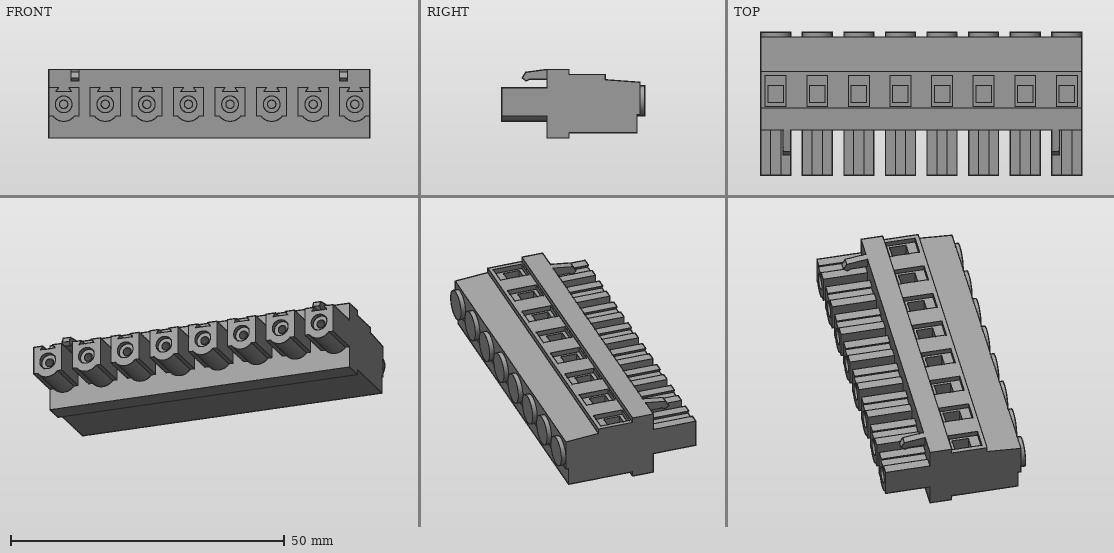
import cadquery as cq


length = 58.85
depth = 26.25
height = 12.6
pole_count = 8
plug_width = 5.55
plug_pitch = (length - plug_width) / (pole_count - 1)

flange_front = 8.3
flange_back = 12.35
ridge_back = 19.0
upper_back = 25.35
lower_back = 24.85
base_z = 0.95
back_step_z = 4.35
slope_low_z = 10.25
slope_high_z = 10.7
ridge_z = 11.65

plug_bottom = 4.0
plug_top = 9.25
socket_z = 6.2
belly_radius = 2.5
belly_bottom = 3.05
socket_diameter = 3.05
socket_depth = 1.0
contact_diameter = 1.55
contact_depth = 5.9
groove_mouth = 1.9
groove_floor = 2.8
groove_depth = 0.7

funnel_width = 3.8
funnel_front = 12.65
funnel_back = 18.25
funnel_depth = 0.95
wire_hole_width = 2.8
wire_hole_front = 13.35
wire_hole_back = 16.4
wire_hole_depth = 5.9

boss_diameter = plug_width
boss_z = 6.8

latch_width = 1.4
latch_thickness = 1.8
latch_nose_y = 4.4
latch_nose_z = 12.05
latch_tip_y = 3.75
latch_tip_z = 11.0
latch_barb_y = 4.55
latch_barb_z = 10.4
latch_barb_start_y = 5.1

pole_positions = [plug_pitch * (index - (pole_count - 1) / 2) for index in range(pole_count)]


def span_box(x_center, width, y_range, z_range):
    """Box centred on x_center that fills the given Y and Z ranges."""
    y_low, y_high = y_range
    z_low, z_high = z_range
    return (
        cq.Workplane("XY")
        .box(width, y_high - y_low, z_high - z_low, centered=(True, False, False))
        .translate((x_center, y_low, z_low))
    )


def cylinder_along_y(x, z, diameter, y_low, y_high):
    """Cylinder parallel to Y between two Y positions."""
    axis = cq.Vector(0, 1, 0)
    start = cq.Vector(x, y_low, z)
    return cq.Workplane(cq.Solid.makeCylinder(diameter / 2, y_high - y_low, start, axis))


def housing():
    """Stepped housing extruded over the whole row."""
    profile = [
        (flange_front, 0),
        (flange_back, 0),
        (flange_back, base_z),
        (lower_back, base_z),
        (lower_back, back_step_z),
        (upper_back, back_step_z),
        (upper_back, slope_low_z),
        (ridge_back, slope_high_z),
        (ridge_back, ridge_z),
        (flange_back, ridge_z),
        (flange_back, height),
        (flange_front, height),
    ]
    return cq.Workplane("YZ").polyline(profile).close().extrude(length / 2, both=True)


def plug(x):
    """Square plug with a round belly and a dovetail groove along its top."""
    block = span_box(x, plug_width, (0, flange_front), (plug_bottom, plug_top))
    belly_z = belly_bottom + belly_radius
    belly = cylinder_along_y(x, belly_z, 2 * belly_radius, 0, flange_front)
    belly = belly.intersect(span_box(x, plug_width, (0, flange_front), (belly_bottom, belly_z)))
    groove_bottom = plug_top - groove_depth
    groove = (
        cq.Workplane("XZ")
        .polyline([
            (x - groove_mouth / 2, plug_top),
            (x - groove_floor / 2, groove_bottom),
            (x + groove_floor / 2, groove_bottom),
            (x + groove_mouth / 2, plug_top),
        ])
        .close()
        .extrude(-flange_front)
    )
    return block.union(belly).cut(groove)


def plug_socket(x):
    """Stepped contact hole in the front of a plug."""
    socket = cylinder_along_y(x, socket_z, socket_diameter, 0, socket_depth)
    contact = cylinder_along_y(x, socket_z, contact_diameter, 0, contact_depth)
    return socket.union(contact)


def wire_opening(x):
    """Shallow rectangular funnel with a deeper wire hole in its floor."""
    funnel_floor = ridge_z - funnel_depth
    funnel = span_box(x, funnel_width, (funnel_front, funnel_back), (funnel_floor, ridge_z))
    hole_range = (wire_hole_front, wire_hole_back)
    hole = span_box(x, wire_hole_width, hole_range, (ridge_z - wire_hole_depth, ridge_z))
    return funnel.union(hole)


def latch():
    """Hook beside the left end plug, reaching forward from the flange."""
    latch_bottom = height - latch_thickness
    profile = [
        (flange_front, latch_bottom),
        (flange_front, height),
        (latch_nose_y, latch_nose_z),
        (latch_tip_y, latch_tip_z),
        (latch_barb_y, latch_barb_z),
        (latch_barb_start_y, latch_bottom),
    ]
    left_side = -length / 2 + plug_width - latch_width
    hook = cq.Workplane("YZ").polyline(profile).close().extrude(latch_width)
    return hook.translate((left_side, 0, 0))


result = housing()
for pole_x in pole_positions:
    result = result.union(plug(pole_x))
    result = result.union(cylinder_along_y(pole_x, boss_z, boss_diameter, lower_back, depth))
    result = result.cut(plug_socket(pole_x))
    result = result.cut(wire_opening(pole_x))

left_latch = latch()
result = result.union(left_latch).union(left_latch.mirror("YZ"))